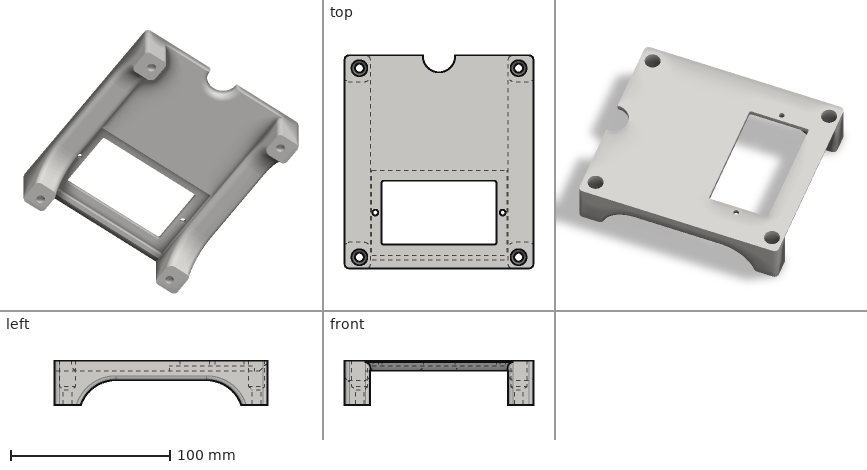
import cadquery as cq
import math

width = 118.7
length = 134.0
height = 27.9
edge_radius = 3.0

slab_thickness = 6.4
front_lip_height = 1.0

rail_width = 16.1
arch_height = 15.5
arch_radius = 23.0
arch_flat_length = 57.1
arch_outer_edge_radius = 3.0
arch_inner_edge_radius = 4.0

screw_spacing_x = 100.0
screw_spacing_y = 118.7
screw_center_y = -0.5
screw_bore_diameter = 10.0
screw_bore_depth = 16.1
screw_hole_diameter = 5.5

window_width = 72.0
window_length = 39.9
window_center_y = -31.9
window_corner_radius = 1.2
window_wall_height = 3.2
recess_margin = 6.7
mount_spacing = 80.0
mount_diameter = 3.5

notch_radius = 10.0
notch_depth = 10.7
notch_edge_radius = 4.0

half_width = width / 2
half_length = length / 2
inner_width = width - 2 * rail_width
half_inner_width = inner_width / 2

pick_margin = 0.1


def make_block():
    block = cq.Workplane("XY").rect(width, length).extrude(-height)
    return block.edges("|Z").fillet(edge_radius)


def channel_plan():
    """Full-height gap between the rails, flaring at both ends to round the leg edges."""
    flare_start = half_length - edge_radius
    gap = cq.Workplane("XY").rect(inner_width, length).extrude(-height)
    for x in (-1, 1):
        for y in (-1, 1):
            flare = (
                cq.Workplane("XY")
                .moveTo(x * half_inner_width, y * flare_start)
                .radiusArc((x * (half_inner_width + edge_radius), y * half_length), x * y * edge_radius)
                .lineTo(x * half_inner_width, y * half_length)
                .close()
                .extrude(-height)
            )
            gap = gap.union(flare)
    return gap


def channel_cutter():
    """Gap between the rails below the slab, its roof rising at 45 degrees to the front lip."""
    bevel = slab_thickness - front_lip_height
    profile = [
        (-half_length, -height),
        (-half_length, -front_lip_height),
        (-half_length + bevel, -slab_thickness),
        (half_length, -slab_thickness),
        (half_length, -height),
    ]
    roofed_space = cq.Workplane("YZ").polyline(profile).close().extrude(half_width, both=True)
    return roofed_space.intersect(channel_plan())


def arch_cutter():
    """Opening through both rails: a flat crown with a round haunch at each end."""
    crown_z = arch_height - height
    foot_z = crown_z - arch_radius
    half_flat = arch_flat_length / 2
    half_span = half_flat + arch_radius
    diagonal = arch_radius * math.sqrt(0.5)
    return (
        cq.Workplane("YZ")
        .moveTo(-half_span, foot_z)
        .threePointArc((-half_flat - diagonal, foot_z + diagonal), (-half_flat, crown_z))
        .lineTo(half_flat, crown_z)
        .threePointArc((half_flat + diagonal, foot_z + diagonal), (half_span, foot_z))
        .close()
        .extrude(half_width, both=True)
    )


def round_arch_edges(body):
    """Round the arch edges on the outer and inner face of each rail."""
    reach_y = half_length - 2 * edge_radius
    rail_faces = [
        (-half_width, arch_outer_edge_radius),
        (-half_inner_width, arch_inner_edge_radius),
        (half_inner_width, arch_inner_edge_radius),
        (half_width, arch_outer_edge_radius),
    ]
    for face_x, radius in rail_faces:
        arch_edges = cq.selectors.BoxSelector(
            (face_x - pick_margin, -reach_y, -height + pick_margin),
            (face_x + pick_margin, reach_y, -slab_thickness - pick_margin),
        )
        body = body.edges(arch_edges).fillet(radius)
    return body


def screw_cutter():
    bore = screw_bore_diameter / 2
    hole = screw_hole_diameter / 2
    seat_z = -screw_bore_depth - (bore - hole)
    profile = [(0, 0), (bore, 0), (bore, -screw_bore_depth), (hole, seat_z), (hole, -height), (0, -height)]
    return cq.Workplane("XZ").polyline(profile).close().revolve(360, (0, 0), (0, 1))


def cut_screw_holes(body):
    for x in (-1, 1):
        for y in (-1, 1):
            place = (x * screw_spacing_x / 2, screw_center_y + y * screw_spacing_y / 2, 0)
            body = body.cut(screw_cutter().translate(place))
    return body


def cut_window(body):
    center = (0, window_center_y, 0)
    opening = cq.Workplane("XY").rect(window_width, window_length).extrude(-slab_thickness)
    opening = opening.edges("|Z").fillet(window_corner_radius)
    recess = (
        cq.Workplane("XY", origin=(0, 0, -slab_thickness))
        .rect(window_width + 2 * recess_margin, window_length + 2 * recess_margin)
        .extrude(slab_thickness - window_wall_height)
    )
    return body.cut(opening.translate(center)).cut(recess.translate(center))


def cut_mount_holes(body):
    centers = [(x * mount_spacing / 2, window_center_y) for x in (-1, 1)]
    return body.cut(cq.Workplane("XY").pushPoints(centers).circle(mount_diameter / 2).extrude(-height))


def cut_notch(body):
    center_y = half_length - notch_depth + notch_radius
    body = body.cut(cq.Workplane("XY").center(0, center_y).circle(notch_radius).extrude(-height))
    lower_edge = cq.selectors.BoxSelector(
        (-notch_radius, half_length - notch_depth - pick_margin, -slab_thickness - pick_margin),
        (notch_radius, half_length - pick_margin, -slab_thickness + pick_margin),
    )
    return body.edges(lower_edge).fillet(notch_edge_radius)


body = make_block().cut(channel_cutter()).cut(arch_cutter())
body = round_arch_edges(body)
body = cut_screw_holes(body)
body = cut_notch(body)
body = cut_window(body)
result = cut_mount_holes(body)